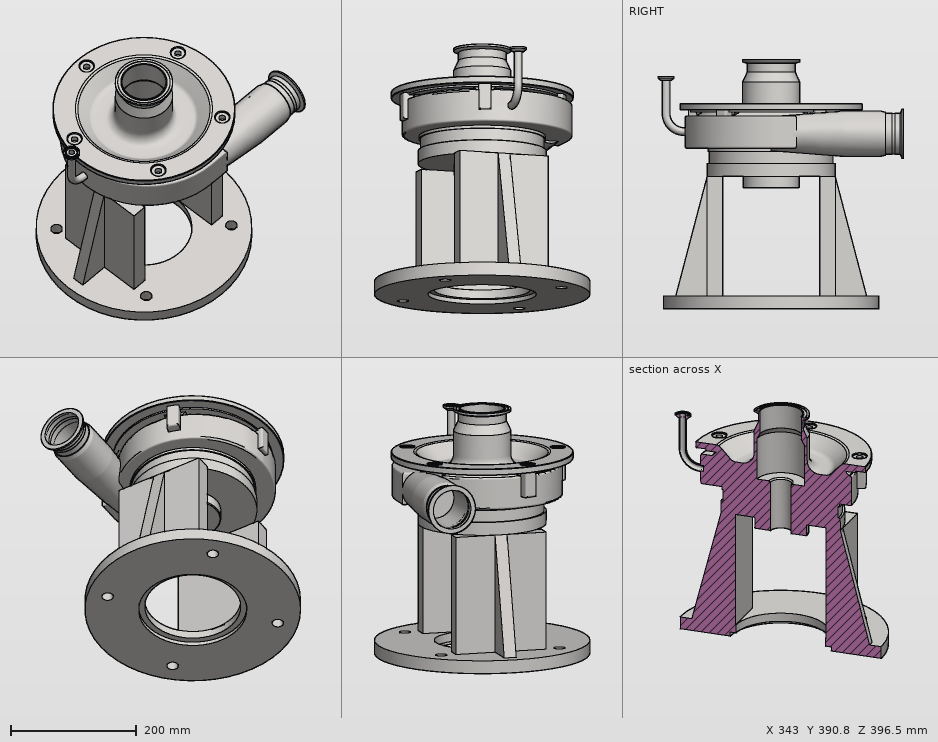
import cadquery as cq
import math


base_radius = 171.5
base_thickness = 21.0
base_opening_radius = 76.3
base_recess_radius = 86.0
base_recess_depth = 7.0
anchor_circle_radius = 139.0
anchor_hole_diameter = 18.0
anchor_count = 4
leg_width = 150.0
leg_thickness = 25.0
rib_thickness = 20.0
rib_foot_y = 151.8

mount_bottom_z = 210.7
collar_bottom_z = 231.5
ledge_bottom_z = 250.5
casing_bottom_z = 255.2
casing_top_z = 307.0
lip_bottom_z = 313.0
cover_bottom_z = 316.0
cover_top_z = 326.6
inlet_top_z = 396.5

mount_radius = 102.0
collar_radius = 98.6
ledge_radius = 100.5
sleeve_radius = 44.7
sleeve_bottom_z = 192.0
sleeve_chamfer = 1.5
shaft_hole_radius = 17.4
shaft_hole_mouth_radius = 19.7

volute_first_radius = 125.2
volute_step = 7.8
outlet_root_y = 40.0
casing_rounding = 3.0
neck_top_radius = 111.0
neck_bottom_radius = 117.0
lip_radius = 128.0

cover_radius = 145.0
cover_edge_chamfer = 1.0
dish_floor_z = 302.0
dish_rounding = 14.0
dish_floor_radius = 76.0
dish_rim_chamfer = 2.6

inlet_radius = 45.7
inlet_neck_radius = 38.3
inlet_fillet = 20.0
inlet_taper_bottom_z = 361.0
inlet_taper_top_z = 377.0
inlet_flare_bottom_z = 390.0
inlet_rim_thickness = 3.5
inlet_bore_radius = 34.9
inlet_bore_bottom_z = 356.8
inlet_chamber_radius = 40.0
inlet_chamber_top_z = 348.0
inlet_floor_z = 278.0
seal_groove_radius = 39.3
seal_groove_width = 5.0
seal_groove_depth = 1.2

outlet_x = 114.8
outlet_z = 278.6
outlet_end_y = 210.6
outlet_cone_start_radius = 27.3
outlet_cone_end_y = 116.0
outlet_bore_end_y = 118.7
outlet_pipe_end_y = 173.8
outlet_taper_end_y = 182.0
outlet_neck_groove_near_y = 191.8
outlet_neck_groove_far_y = 197.0
outlet_flare_start_y = 205.0
outlet_rim_thickness = 2.8
outlet_radius = 36.4
outlet_taper_end_radius = 34.2
outlet_neck_radius = 32.9
outlet_neck_groove_depth = 0.5
outlet_flange_radius = 39.0
outlet_bore_radius = 31.2

screw_count = 5
screw_circle_radius = 125.6
lug_width = 20.0
lug_outer_radius = 136.2
lug_inner_radius = 105.0
lug_bottom_z = 274.0
lug_edge_fillet = 3.0
lug_root_width = 35.0
lug_root_bottom_z = 306.0
lug_root_outer_radius = 120.0
recess_radius = 11.0
recess_mouth_radius = 12.3
recess_depth = 2.0
socket_mouth_radius = 5.2
socket_tip_radius = 4.2
socket_depth = 8.0

tube_radius = 6.35
tube_bore_radius = 4.4
tube_bend_radius = 29.0
tube_axis_y = -167.2
tube_start_z = 282.0
tube_bore_start_y = -132.0
tube_root_y = -125.0
tube_top_z = 370.0
ferrule_radius = 13.0
ferrule_neck_radius = 8.0
ferrule_bottom_z = 363.0
ferrule_rim_thickness = 3.0
ferrule_groove_radius = 9.6
ferrule_groove_width = 2.0


def disc(radius, bottom_z, top_z):
    return cq.Workplane("XY").workplane(offset=bottom_z).circle(radius).extrude(top_z - bottom_z)


def cone(bottom_radius, top_radius, bottom_z, top_z):
    """Solid cone frustum around the Z axis."""
    outline = [(0, bottom_z), (bottom_radius, bottom_z), (top_radius, top_z), (0, top_z)]
    return cq.Workplane("XZ").polyline(outline).close().revolve(360, (0, 0), (0, 1))


def ring(middle_radius, width, bottom_z, top_z):
    outer = disc(middle_radius + width / 2, bottom_z, top_z)
    return outer.cut(disc(middle_radius - width / 2, bottom_z, top_z))


def make_stand():
    base = disc(base_radius, 0, base_thickness)
    base = base.cut(disc(base_opening_radius, 0, base_thickness))
    base = base.cut(disc(base_recess_radius, 0, base_recess_depth))
    base = base.cut(
        cq.Workplane("XY")
        .polarArray(anchor_circle_radius, 45, 360, anchor_count)
        .circle(anchor_hole_diameter / 2)
        .extrude(base_thickness)
    )
    leg_height = mount_bottom_z - base_thickness
    leg = cq.Workplane("XY").box(leg_width, leg_thickness, leg_height, centered=(True, False, False))
    leg = leg.translate((0, mount_radius - leg_thickness, base_thickness))
    rib_outline = [
        (mount_radius, base_thickness),
        (rib_foot_y, base_thickness),
        (mount_radius, mount_bottom_z),
    ]
    rib = cq.Workplane("YZ").polyline(rib_outline).close().extrude(rib_thickness / 2, both=True)
    support = leg.union(rib)
    return base.union(support).union(support.mirror("XZ"))


def make_mount():
    mount = disc(mount_radius, mount_bottom_z, collar_bottom_z)
    mount = mount.union(disc(collar_radius, collar_bottom_z, ledge_bottom_z))
    mount = mount.union(disc(ledge_radius, ledge_bottom_z, casing_bottom_z))
    sleeve = disc(sleeve_radius, sleeve_bottom_z, mount_bottom_z)
    return mount.union(sleeve.faces("<Z").edges().chamfer(sleeve_chamfer))


def make_casing():
    half_step = volute_step / 2
    diagonal = math.sqrt(0.5)
    radius_2 = volute_first_radius + volute_step
    radius_3 = radius_2 + volute_step
    left_x = -half_step - volute_first_radius
    front_y = -half_step - radius_2
    right_x = half_step + radius_3
    root_offset = outlet_root_y + half_step
    root_x = math.sqrt(volute_first_radius**2 - root_offset**2) - half_step
    volute = (
        cq.Workplane("XY")
        .workplane(offset=casing_bottom_z)
        .moveTo(root_x, outlet_root_y)
        .threePointArc((-half_step, volute_first_radius - half_step), (left_x, -half_step))
        .threePointArc(
            (half_step - radius_2 * diagonal, -half_step - radius_2 * diagonal),
            (half_step, front_y),
        )
        .threePointArc(
            (half_step + radius_3 * diagonal, half_step - radius_3 * diagonal),
            (right_x, half_step),
        )
        .lineTo(right_x, outlet_root_y)
        .close()
        .extrude(casing_top_z - casing_bottom_z)
    )
    volute = volute.faces("<Z or >Z").edges().fillet(casing_rounding)
    neck = cone(neck_bottom_radius, neck_top_radius, casing_top_z, lip_bottom_z)
    lip = disc(lip_radius, lip_bottom_z, cover_bottom_z)
    return volute.union(neck).union(lip)


def make_dish():
    """Cutter for the dished middle of the cover, open around the inlet pipe."""
    slope = math.radians(45)
    center_z = dish_floor_z + dish_rounding
    wall_radius = dish_floor_radius + dish_rounding * math.sin(slope)
    wall_z = center_z - dish_rounding * math.cos(slope)
    rim_radius = wall_radius + cover_top_z - wall_z
    middle_radius = dish_floor_radius + dish_rounding * math.sin(slope / 2)
    middle_z = center_z - dish_rounding * math.cos(slope / 2)
    fillet_radius = inlet_radius + inlet_fillet
    fillet_inset = inlet_fillet * math.sqrt(0.5)
    fillet_top_z = dish_floor_z + inlet_fillet
    return (
        cq.Workplane("XZ")
        .moveTo(inlet_radius, cover_top_z)
        .lineTo(inlet_radius, fillet_top_z)
        .threePointArc(
            (fillet_radius - fillet_inset, fillet_top_z - fillet_inset),
            (fillet_radius, dish_floor_z),
        )
        .lineTo(dish_floor_radius, dish_floor_z)
        .threePointArc((middle_radius, middle_z), (wall_radius, wall_z))
        .lineTo(rim_radius - dish_rim_chamfer / 2, cover_top_z - dish_rim_chamfer / 2)
        .lineTo(rim_radius + dish_rim_chamfer, cover_top_z)
        .close()
        .revolve(360, (0, 0), (0, 1))
    )


def make_cover():
    cover = disc(cover_radius, cover_bottom_z, cover_top_z)
    return cover.faces("<Z or >Z").edges().chamfer(cover_edge_chamfer)


def make_inlet():
    rim_bottom_z = inlet_top_z - inlet_rim_thickness
    outline = [
        (0, casing_top_z),
        (inlet_radius, casing_top_z),
        (inlet_radius, inlet_taper_bottom_z),
        (inlet_neck_radius, inlet_taper_top_z),
        (inlet_neck_radius, inlet_flare_bottom_z),
        (inlet_radius, rim_bottom_z),
        (inlet_radius, inlet_top_z),
        (0, inlet_top_z),
    ]
    inlet = cq.Workplane("XZ").polyline(outline).close().revolve(360, (0, 0), (0, 1))
    groove = ring(seal_groove_radius, seal_groove_width, inlet_top_z - seal_groove_depth, inlet_top_z)
    return inlet.cut(groove)


def make_inlet_bore():
    """Cutter for the inlet bore, the wider chamber below it and the shaft hole."""
    mouth_depth = shaft_hole_mouth_radius - shaft_hole_radius
    bore = disc(inlet_bore_radius, inlet_bore_bottom_z, inlet_top_z)
    bore = bore.union(
        cone(inlet_chamber_radius, inlet_bore_radius, inlet_chamber_top_z, inlet_bore_bottom_z)
    )
    bore = bore.union(disc(inlet_chamber_radius, inlet_floor_z, inlet_chamber_top_z))
    bore = bore.union(
        cone(shaft_hole_radius, shaft_hole_mouth_radius, inlet_floor_z - mouth_depth, inlet_floor_z)
    )
    return bore.union(disc(shaft_hole_radius, sleeve_bottom_z, inlet_floor_z - mouth_depth))


def along_outlet(solid):
    """Turn a solid built around Z so that its axis becomes the outlet axis along +Y."""
    return solid.rotate((0, 0, 0), (1, 0, 0), -90).translate((outlet_x, 0, outlet_z))


def make_outlet():
    groove_radius = outlet_neck_radius - outlet_neck_groove_depth
    outline = [
        (0, 0),
        (outlet_cone_start_radius, 0),
        (outlet_radius, outlet_cone_end_y),
        (outlet_radius, outlet_pipe_end_y),
        (outlet_taper_end_radius, outlet_taper_end_y),
        (outlet_neck_radius, outlet_taper_end_y),
        (outlet_neck_radius, outlet_neck_groove_near_y),
        (groove_radius, outlet_neck_groove_near_y),
        (groove_radius, outlet_neck_groove_far_y),
        (outlet_neck_radius, outlet_neck_groove_far_y),
        (outlet_neck_radius, outlet_flare_start_y),
        (outlet_flange_radius, outlet_end_y - outlet_rim_thickness),
        (outlet_flange_radius, outlet_end_y),
        (0, outlet_end_y),
    ]
    return along_outlet(cq.Workplane("XZ").polyline(outline).close().revolve(360, (0, 0), (0, 1)))


def make_outlet_bore():
    return along_outlet(disc(outlet_bore_radius, outlet_bore_end_y, outlet_end_y))


def make_lug():
    """One screw lug pointing along +X."""
    lug_length = lug_outer_radius - lug_inner_radius
    lug_height = cover_bottom_z - lug_bottom_z
    lug = cq.Workplane("XY").box(lug_length, lug_width, lug_height, centered=(False, True, False))
    lug = lug.edges("(>X and |Z) or (>X and <Z)").fillet(lug_edge_fillet)
    lug = lug.translate((lug_inner_radius, 0, lug_bottom_z))
    root_outline = [
        (-lug_root_width / 2, lip_bottom_z),
        (-lug_width / 2, lug_root_bottom_z),
        (lug_width / 2, lug_root_bottom_z),
        (lug_root_width / 2, lip_bottom_z),
    ]
    root = (
        cq.Workplane("YZ")
        .workplane(offset=lug_inner_radius)
        .polyline(root_outline)
        .close()
        .extrude(lug_root_outer_radius - lug_inner_radius)
    )
    return lug.union(root)


def make_screw_recess():
    """Chamfered recess with a slightly tapered socket, on the +X side of the cover."""
    chamfer = recess_mouth_radius - recess_radius
    floor_z = cover_top_z - recess_depth
    recess = cone(recess_radius, recess_mouth_radius, cover_top_z - chamfer, cover_top_z)
    recess = recess.union(disc(recess_radius, floor_z, cover_top_z - chamfer))
    recess = recess.union(cone(socket_tip_radius, socket_mouth_radius, floor_z - socket_depth, floor_z))
    return recess.translate((screw_circle_radius, 0, 0))


def at_screws(solid):
    """Copies of a solid at every screw position, starting on the -X side."""
    copies = cq.Workplane("XY")
    for index in range(screw_count):
        angle = 180 + index * 360 / screw_count
        copies = copies.add(solid.rotate((0, 0, 0), (0, 0, 1), angle))
    return copies.combine()


def tube_sweep(radius, start_y):
    """Round rod that leaves the casing along -Y, bends and rises to the tube top."""
    bend_start_y = tube_axis_y + tube_bend_radius
    bend_inset = tube_bend_radius * (1 - math.sqrt(0.5))
    path = (
        cq.Workplane("YZ")
        .moveTo(start_y, tube_start_z)
        .lineTo(bend_start_y, tube_start_z)
        .threePointArc(
            (tube_axis_y + bend_inset, tube_start_z + bend_inset),
            (tube_axis_y, tube_start_z + tube_bend_radius),
        )
        .lineTo(tube_axis_y, tube_top_z)
    )
    section = cq.Workplane("XZ", origin=(0, start_y, tube_start_z)).circle(radius)
    return section.sweep(path)


def make_tube():
    rim_bottom_z = tube_top_z - ferrule_rim_thickness
    ferrule = cone(ferrule_neck_radius, ferrule_radius, ferrule_bottom_z, rim_bottom_z)
    ferrule = ferrule.union(disc(ferrule_radius, rim_bottom_z, tube_top_z))
    ferrule = ferrule.cut(
        ring(ferrule_groove_radius, ferrule_groove_width, tube_top_z - seal_groove_depth, tube_top_z)
    )
    return tube_sweep(tube_radius, tube_root_y).union(ferrule.translate((0, tube_axis_y, 0)))


pump = make_casing().union(make_mount()).union(make_outlet()).union(at_screws(make_lug()))
pump = pump.union(make_cover()).cut(make_dish()).union(make_inlet().cut(make_dish()))
pump = pump.union(make_tube()).union(make_stand())
pump = pump.cut(make_inlet_bore()).cut(make_outlet_bore())
pump = pump.cut(tube_sweep(tube_bore_radius, tube_bore_start_y))
result = pump.cut(at_screws(make_screw_recess()))